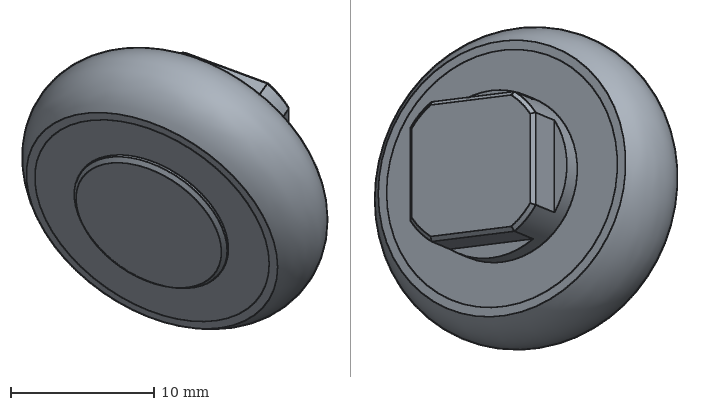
import cadquery as cq

wheel_radius = 11.4
wheel_width = 7.0
side_radius = 9.85
hub_radius = 9.19

axle_radius = 6.0
front_lip = 0.5
back_shoulder = 1.5
square_length = 2.99
square_side = 10.0
end_chamfer = 0.3

half_width = wheel_width / 2
axle_front = -half_width - front_lip
shoulder_back = half_width + back_shoulder


def cylinder(radius, y_start, y_end):
    """Solid cylinder along +Y."""
    plane = cq.Workplane("XZ", origin=(0, y_start, 0))
    return plane.circle(radius).extrude(y_start - y_end)


def make_tyre():
    """Ring with flat sides and a crowned tread."""
    profile = (
        cq.Workplane("XY")
        .moveTo(hub_radius, -half_width)
        .lineTo(side_radius, -half_width)
        .threePointArc((wheel_radius, 0), (side_radius, half_width))
        .lineTo(hub_radius, half_width)
        .close()
    )
    return profile.revolve(360, (0, 0, 0), (0, 1, 0))


def make_hub():
    """Disc filling the tyre, flush with its sides and bored for the axle."""
    disc = cylinder(hub_radius, -half_width, half_width)
    return disc.cut(cylinder(axle_radius, -half_width, half_width))


def make_axle():
    """Round axle with a chamfered front and a square, round-cornered drive end."""
    shaft = cylinder(axle_radius, axle_front, shoulder_back).faces("<Y").chamfer(end_chamfer)
    square_block = (
        cq.Workplane("XZ", origin=(0, shoulder_back, 0))
        .rect(square_side, square_side)
        .extrude(-square_length)
    )
    corner_round = cylinder(axle_radius, shoulder_back, shoulder_back + square_length)
    drive_end = square_block.intersect(corner_round).faces(">Y").chamfer(end_chamfer)
    return shaft.union(drive_end)


tyre = make_tyre()
hub = make_hub()
axle = make_axle()

result = cq.Compound.makeCompound([tyre.val(), hub.val(), axle.val()])